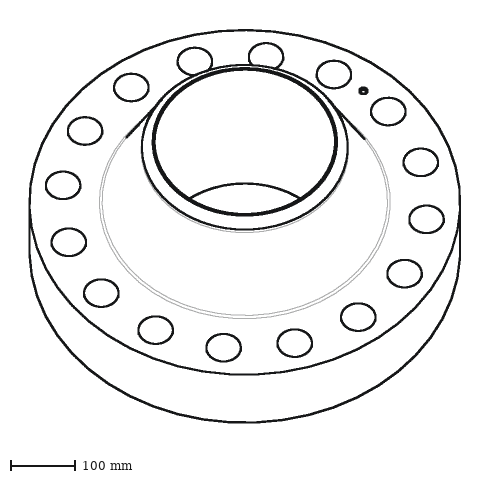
import cadquery as cq
import math

overall_height = 297.0
raised_face_height = 14.0
flange_thickness = 125.0
weld_bevel_height = 14.0
neck_blend_height = 6.0

flange_diameter = 673.0
raised_face_diameter = 441.5
neck_diameter = 321.5
weld_face_diameter = 288.0
bore_diameter = 282.0

hub_cone_angle = math.radians(24.3)
hub_fillet_radius = 5.0

bolt_circle_diameter = 571.0
bolt_hole_diameter = 54.0
bolt_count = 16

small_hole_diameter = 8.0
small_hole_depth = 13.5
countersink_diameter = 13.0
countersink_angle = 90.0
small_hole_angle = math.radians(90.0 + 180.0 / bolt_count)

flange_bottom = raised_face_height
flange_top = flange_bottom + flange_thickness
bevel_bottom = overall_height - weld_bevel_height


def arc_point(center, radius, angle):
    """Point on a circle, at an angle in radians, in plane coordinates."""
    return (center[0] + radius * math.cos(angle), center[1] + radius * math.sin(angle))


def make_body():
    """Revolve the outline of the raised face, flange, hub and weld end about Z."""
    neck_radius = neck_diameter / 2

    blend_radius = neck_blend_height / math.sin(hub_cone_angle)
    blend_center = (neck_radius + blend_radius, bevel_bottom)
    blend_middle = arc_point(blend_center, blend_radius, math.pi + hub_cone_angle / 2)
    cone_top = arc_point(blend_center, blend_radius, math.pi + hub_cone_angle)

    fillet_height = hub_fillet_radius * (1 - math.sin(hub_cone_angle))
    cone_bottom_z = flange_top + fillet_height
    cone_bottom_r = cone_top[0] + (cone_top[1] - cone_bottom_z) * math.tan(hub_cone_angle)
    fillet_center = (
        cone_bottom_r + hub_fillet_radius * math.cos(hub_cone_angle),
        flange_top + hub_fillet_radius,
    )
    fillet_end_angle = 1.5 * math.pi
    fillet_middle_angle = (math.pi + hub_cone_angle + fillet_end_angle) / 2
    fillet_middle = arc_point(fillet_center, hub_fillet_radius, fillet_middle_angle)

    outline = (
        cq.Workplane("XZ")
        .moveTo(0, 0)
        .lineTo(raised_face_diameter / 2, 0)
        .lineTo(raised_face_diameter / 2, flange_bottom)
        .lineTo(flange_diameter / 2, flange_bottom)
        .lineTo(flange_diameter / 2, flange_top)
        .lineTo(fillet_center[0], flange_top)
        .threePointArc(fillet_middle, (cone_bottom_r, cone_bottom_z))
        .lineTo(*cone_top)
        .threePointArc(blend_middle, (neck_radius, bevel_bottom))
        .lineTo(weld_face_diameter / 2, overall_height)
        .lineTo(0, overall_height)
        .close()
    )
    return outline.revolve(360, (0, 0), (0, 1))


def cut_bore(body):
    bore = cq.Workplane("XY").circle(bore_diameter / 2).extrude(overall_height)
    return body.cut(bore)


def cut_bolt_holes(body):
    holes = (
        cq.Workplane("XY")
        .polarArray(bolt_circle_diameter / 2, 0, 360, bolt_count)
        .circle(bolt_hole_diameter / 2)
        .extrude(flange_top)
    )
    return body.cut(holes)


def cut_small_hole(body):
    x, y = arc_point((0, 0), bolt_circle_diameter / 2, small_hole_angle)
    return body.copyWorkplane(cq.Workplane("XY", origin=(x, y, flange_top))).cskHole(
        small_hole_diameter, countersink_diameter, countersink_angle, small_hole_depth
    )


flange = cut_small_hole(cut_bolt_holes(cut_bore(make_body())))
result = cq.Workplane(flange.solids().val())